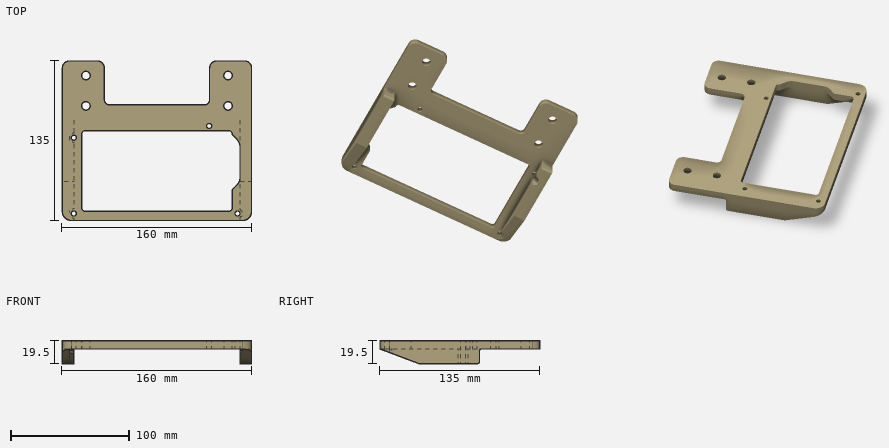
import cadquery as cq
import math

width = 160.0
depth = 135.0
height = 19.5
plate_thickness = 7.0
plate_bottom = height - plate_thickness
front_corner_radius = 8.0
tab_corner_radius = 6.2

tab_width = 35.7
recess_front = 98.0
recess_fillet = 4.0

window_margin = 16.6
window_front = 8.2
window_back = 75.8
window_fillet = 2.4
notch_front = 26.0
notch_back = 72.8
notch_radius = 10.0

wall_thickness = 10.0
wall_back = 84.2
slope_length = 33.0
wall_root_fillet = 1.1
wall_edge_fillet = 2.0

tab_hole_diameter = 7.0
tab_hole_inset = 20.0
tab_hole_front = 97.0
tab_hole_spacing = 25.6
screw_hole_diameter = 4.2
nut_across_flats = 7.4
screw_points = [(9.8, 6.0), (9.8, 70.0), (148.0, 6.0), (124.0, 80.0)]


def block(x_min, x_max, y_min, y_max, z_min, z_max):
    """Box between opposite corners."""
    size = (x_max - x_min, y_max - y_min, z_max - z_min)
    return cq.Workplane("XY").box(*size, centered=False).translate((x_min, y_min, z_min))


def make_envelope():
    """Full-height block with the rounded outer corners."""
    body = block(0, width, 0, depth, 0, height)
    body = body.edges("|Z and <Y").fillet(front_corner_radius)
    return body.edges("|Z and >Y").fillet(tab_corner_radius)


def make_side_profile():
    """Plate and wall outline in the YZ plane, extruded across the width."""
    profile = (
        cq.Workplane("YZ")
        .moveTo(0, height)
        .lineTo(depth, height)
        .lineTo(depth, plate_bottom)
        .lineTo(wall_back, plate_bottom)
        .lineTo(wall_back, 0)
        .lineTo(slope_length, 0)
        .lineTo(0, plate_bottom)
        .close()
        .extrude(width)
    )
    root = cq.selectors.NearestToPointSelector((width / 2, wall_back, plate_bottom))
    profile = profile.edges("|X").edges(root).fillet(wall_root_fillet)
    edge = cq.selectors.NearestToPointSelector((width / 2, wall_back, 0))
    return profile.edges("|X").edges(edge).fillet(wall_edge_fillet)


def make_wall_gap():
    """Open space under the plate, between the side walls."""
    return block(wall_thickness, width - wall_thickness, 0, depth, 0, plate_bottom)


def make_tab_recess():
    """Rear recess with rounded inner corners."""
    recess = block(tab_width, width - tab_width, recess_front, depth, 0, height)
    return recess.edges("|Z and <Y").fillet(recess_fillet)


def make_window():
    """Rectangular window joined to its notch."""
    right = width - window_margin
    window = block(window_margin, right, window_front, window_back, 0, height)
    window = window.edges("|Z").fillet(window_fillet)

    notch_right = width - wall_thickness
    notch_depth = notch_right - right
    notch = (
        cq.Workplane("XY")
        .moveTo(right, notch_front)
        .lineTo(notch_right, notch_front + notch_depth)
        .lineTo(notch_right, notch_back - notch_depth)
        .lineTo(right, notch_back)
        .lineTo(width / 2, notch_back)
        .lineTo(width / 2, notch_front)
        .close()
        .extrude(height)
    )
    notch = notch.edges("|Z and >X").fillet(notch_radius)
    return window.union(notch)


def make_holes(points, diameter):
    """Vertical cylinders through the full height."""
    return cq.Workplane("XY").pushPoints(points).circle(diameter / 2).extrude(height)


def make_nut_clearance():
    """Hexagonal nut spaces below the plate, with two flats facing along X."""
    corner_diameter = nut_across_flats / math.cos(math.pi / 6)
    nut = cq.Workplane("XY").transformed(rotate=(0, 0, 30)).polygon(6, corner_diameter).extrude(plate_bottom)
    nuts = cq.Workplane("XY")
    for x, y in screw_points:
        nuts = nuts.union(nut.translate((x, y, 0)))
    return nuts


tab_hole_points = [
    (x, tab_hole_front + row * tab_hole_spacing)
    for x in (tab_hole_inset, width - tab_hole_inset)
    for row in range(2)
]

result = make_envelope().intersect(make_side_profile())
result = result.cut(make_wall_gap()).cut(make_tab_recess())
for tab_side in (tab_width, width - tab_width):
    tab_corner = cq.selectors.NearestToPointSelector((tab_side, depth, height - plate_thickness / 2))
    result = result.edges("|Z").edges(tab_corner).fillet(tab_corner_radius)
result = result.cut(make_window())
result = result.cut(make_holes(tab_hole_points, tab_hole_diameter))
result = result.cut(make_holes(screw_points, screw_hole_diameter))
result = result.cut(make_nut_clearance())